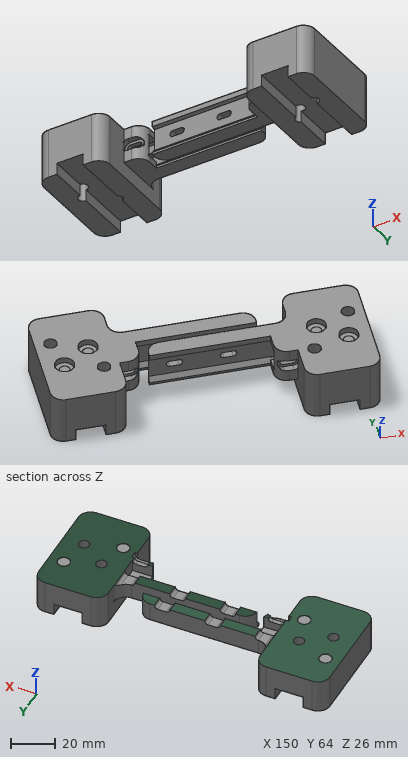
import cadquery as cq

overall_length = 150.0
block_length = 35.0
block_width = 54.0
block_height = 26.0
corner_radius = 6.0
body_offset = 10.0

groove_width = 14.0
groove_depth = 6.0

arm_height = 18.2
arm_thickness = 7.6
arm_end = 101.0
arm_front = 2.2
arm_back = arm_front + arm_thickness
arm_bottom = block_height - arm_height
boss_end = 45.0
boss_depth = 11.5
boss_front = arm_front - boss_depth

recess_depth = 2.0
seat_back = arm_front + recess_depth
lip_height = 2.8
lip_slope_drop = 0.5
ledge_height = 1.2
ledge_slope_rise = 2.2
pocket_reach = 6.3
pocket_floor = arm_bottom + 3.3
pocket_ceiling = block_height - lip_height - lip_slope_drop

slot_first_x = 38.8
slot_pitch = 25.0
slot_count = 3
slot_length = 7.5
slot_width = 3.2
slot_z = arm_bottom + 9.2
head_slot_width = 6.0
head_slot_length = slot_length + head_slot_width - slot_width
head_slot_depth = 3.0

pin_hole_diameter = 6.0
pin_hole_depth = 9.0
pin_hole_spacing = 20.1
recess_hole_diameter = 9.0
recess_hole_depth = 3.0
screw_hole_diameter = 5.0
membrane_thickness = 0.2
recess_hole_centers = [(10.5, -4.8), (23.4, 4.2)]


def box(x_range, y_range, z_range):
    """Axis-aligned box between the given pairs of limits."""
    size = [end - start for start, end in (x_range, y_range, z_range)]
    corner = (x_range[0], y_range[0], z_range[0])
    return cq.Workplane("XY").box(*size, centered=False).translate(corner)


def make_block():
    """Rounded block with a groove along its underside."""
    half_width = block_width / 2
    body = box((0, block_length), (-half_width, half_width), (0, block_height))
    block = body.edges("|Z").fillet(corner_radius)
    groove_start = (block_length - groove_width) / 2
    groove = box((groove_start, groove_start + groove_width), (-half_width, half_width), (0, groove_depth))
    return block.cut(groove)


def make_arm():
    """Arm with its boss; the root, the boss corner and the arm tip share one radius."""
    r = corner_radius
    root = block_length / 2
    return (
        cq.Workplane("XY", origin=(0, 0, arm_bottom))
        .moveTo(root, arm_back + r)
        .lineTo(block_length, arm_back + r)
        .radiusArc((block_length + r, arm_back), -r)
        .lineTo(arm_end - r, arm_back)
        .radiusArc((arm_end, arm_back - r), r)
        .lineTo(arm_end, arm_front)
        .lineTo(boss_end, arm_front)
        .lineTo(boss_end, boss_front + r)
        .radiusArc((boss_end - r, boss_front), r)
        .lineTo(root, boss_front)
        .close()
        .extrude(arm_height)
    )


def make_rail_seat():
    """Cutter for the rail: sloped recess along the arm plus the pocket inside the boss."""
    lip_z = block_height - lip_height
    ledge_z = arm_bottom + ledge_height
    recess = (
        cq.Workplane("YZ", origin=(block_length, 0, 0))
        .moveTo(arm_front, lip_z)
        .lineTo(seat_back, lip_z - lip_slope_drop)
        .lineTo(seat_back, ledge_z + ledge_slope_rise)
        .lineTo(arm_front, ledge_z)
        .close()
        .extrude(arm_end - block_length)
    )
    pocket = box(
        (block_length, boss_end),
        (arm_front - pocket_reach, seat_back),
        (pocket_floor, pocket_ceiling),
    )
    return recess.union(pocket)


def make_slot(center_x, front, length, width, depth):
    """Horizontal slot cutter that starts at Y = front and goes in along +Y."""
    return (
        cq.Workplane("XZ", origin=(center_x, front, slot_z))
        .slot2D(length, width)
        .extrude(-depth)
    )


def make_arm_slots():
    """Cutters for the screw slots; the one in the boss also has a wider slot for the screw head."""
    through_depth = arm_back + corner_radius - boss_front
    slots = make_slot(slot_first_x, boss_front, head_slot_length, head_slot_width, head_slot_depth)
    for index in range(slot_count):
        center_x = slot_first_x + index * slot_pitch
        slots = slots.union(make_slot(center_x, boss_front, slot_length, slot_width, through_depth))
    return slots


def make_top_holes(centers, diameter, depth):
    """Cutters for blind round holes going down from the top face."""
    top = cq.Workplane("XY", origin=(0, 0, block_height))
    return top.pushPoints(centers).circle(diameter / 2).extrude(-depth)


def make_screw_holes():
    """Cutters for the holes from the underside that stop just short of the recess holes."""
    height = block_height - recess_hole_depth - membrane_thickness
    return (
        cq.Workplane("XY")
        .pushPoints(recess_hole_centers)
        .circle(screw_hole_diameter / 2)
        .extrude(height)
    )


def make_left_bracket():
    """Block and arm as one solid, with its rail seat, slots and holes."""
    half_spacing = pin_hole_spacing / 2
    center_x = block_length / 2
    pin_centers = [(center_x - half_spacing, half_spacing), (center_x + half_spacing, -half_spacing)]
    return (
        make_block()
        .union(make_arm())
        .cut(make_rail_seat())
        .cut(make_arm_slots())
        .cut(make_top_holes(pin_centers, pin_hole_diameter, pin_hole_depth))
        .cut(make_top_holes(recess_hole_centers, recess_hole_diameter, recess_hole_depth))
        .cut(make_screw_holes())
    )


def make_right_bracket():
    """Mirror image of the left bracket, facing it from the far end."""
    return make_left_bracket().mirror("YZ").translate((overall_length, -body_offset, 0))


left_bracket = make_left_bracket()
right_bracket = make_right_bracket()

result = cq.Compound.makeCompound([left_bracket.val(), right_bracket.val()])